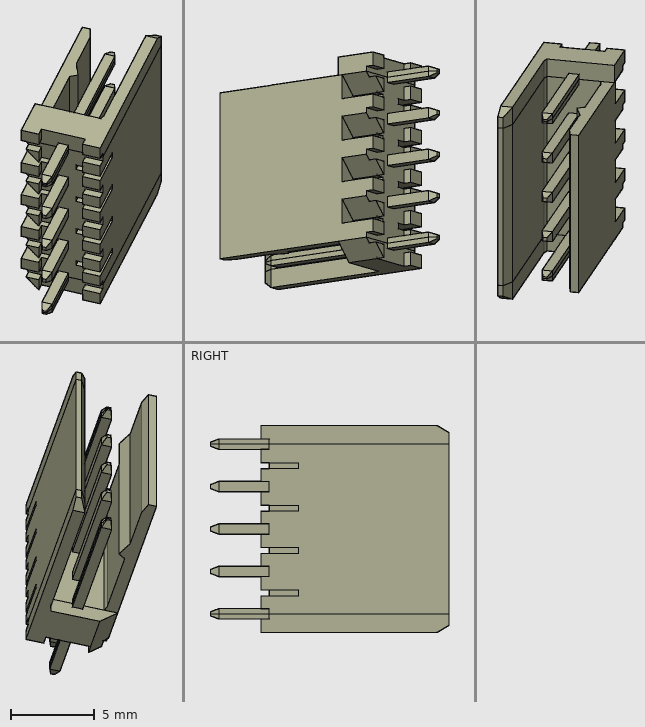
import cadquery as cq


width = 5.0
height = 12.4
pin_count = 5
pitch = 2.54
half_width = width / 2
half_height = height / 2
core_half_height = pitch * (pin_count - 1) / 2
cap_height = half_height - core_half_height
pin_heights = [i * pitch - core_half_height for i in range(pin_count)]

floor_y = 2.56
foot_height = 0.49
foot_width = 1.12
foot_gap = 0.6

wall_top_y = 11.27
wall_thickness = 0.75
wall_lead_y = wall_top_y - 0.72
latch_wall_tip = 0.51
plain_wall_tip = 0.35
root_thickness = 0.85
root_top_y = 2.89
wall_end_bevel = 0.43

latch_top_y = 8.02
latch_peak_y = 7.06
latch_bottom_y = 6.78
latch_reach = 1.17

recess_depth = 2.26
slot_height = 0.35
slot_length = 1.7

pin_size = 0.65
pin_tip_size = 0.25
pin_bevel = 0.51
pin_bottom_y = -3.03
pin_top_y = 9.57


def box(x_from, x_to, y_from, y_to, z_from, z_to):
    """A block between the given limits."""
    size = (x_to - x_from, y_to - y_from, z_to - z_from)
    return cq.Workplane().box(*size, centered=False).translate((x_from, y_from, z_from))


def prism(points, z_from, z_to):
    """An outline in X and Y, extruded along Z."""
    return cq.Workplane().workplane(offset=z_from).polyline(points).close().extrude(z_to - z_from)


base_points = [
    (-half_width, 0),
    (-half_width + foot_width, 0),
    (-half_width + foot_width, foot_height),
    (half_width - foot_width, foot_height),
    (half_width - foot_width, 0),
    (half_width, 0),
]
plain_wall_points = [
    (half_width, wall_top_y),
    (half_width - plain_wall_tip, wall_top_y),
    (half_width - wall_thickness, wall_lead_y),
    (half_width - wall_thickness, root_top_y),
    (half_width - root_thickness, floor_y),
]
latch_wall_points = [
    (-half_width + root_thickness, floor_y),
    (-half_width + wall_thickness, root_top_y),
    (-half_width + wall_thickness, latch_bottom_y),
    (-half_width + latch_reach, latch_peak_y),
    (-half_width + wall_thickness, latch_top_y),
    (-half_width + wall_thickness, wall_lead_y),
    (-half_width + latch_wall_tip, wall_top_y),
    (-half_width, wall_top_y),
]
core_outline = base_points + plain_wall_points + latch_wall_points
cap_outline = base_points + plain_wall_points + [(-half_width, floor_y)]


def pin(z):
    """A square pin along Y, tapered at both ends."""

    def taper(base_y, direction):
        plane = cq.Plane(origin=(0, base_y, z), xDir=(1, 0, 0), normal=(0, direction, 0))
        base = cq.Workplane(plane).rect(pin_size, pin_size)
        return base.workplane(offset=pin_bevel).rect(pin_tip_size, pin_tip_size).loft(ruled=True)

    half = pin_size / 2
    shank_bottom = pin_bottom_y + pin_bevel
    shank_top = pin_top_y - pin_bevel
    shank = box(-half, half, shank_bottom, shank_top, z - half, z + half)
    return shank.union(taper(shank_bottom, -1)).union(taper(shank_top, 1))


def foot_gap_cut(z):
    """The gap between two feet, at the height of a pin."""
    return box(-half_width, half_width, 0, foot_height, z - foot_gap / 2, z + foot_gap / 2)


def corner_cut(z, depth):
    """The 45-degree wedge taken off the -X side of the base, below a pin."""
    wedge = [(-half_width, z), (-half_width + cap_height, z - cap_height), (-half_width, z - cap_height)]
    return cq.Workplane("XZ").polyline(wedge).close().extrude(-depth)


def recess_cut(z):
    """The wedge and the two side slots below a pin."""
    slot_top = z - cap_height
    slot_bottom = slot_top - slot_height
    left_slot = box(-half_width, -half_width + slot_length, 0, recess_depth, slot_bottom, slot_top)
    right_slot = left_slot.mirror("YZ")
    return corner_cut(z, recess_depth).union(left_slot).union(right_slot)


def make_core():
    """The part of the header between the end pins' middles, in one piece with its pins."""
    core = prism(core_outline, -core_half_height, core_half_height)
    for z in pin_heights:
        core = core.cut(foot_gap_cut(z))
    for z in pin_heights[1:]:
        core = core.cut(recess_cut(z))
    reach = box(-half_width, half_width, pin_bottom_y, wall_top_y, -core_half_height, core_half_height)
    for z in pin_heights:
        core = core.union(pin(z).intersect(reach))
    return core


def wall_end_cut(side):
    """The bevel on the outer top corner of a cap's wall."""
    outer = side * half_height
    inner = side * (half_height - wall_end_bevel)
    corner = [(wall_lead_y, outer), (wall_top_y, inner), (wall_top_y, outer)]
    return cq.Workplane("YZ").polyline(corner).close().extrude(half_width)


def make_cap(side):
    """The end of the housing beyond an end pin's middle; side is 1 for the top and -1 for the bottom."""
    pin_z = side * core_half_height
    cap = prism(cap_outline, min(pin_z, side * half_height), max(pin_z, side * half_height))
    cap = cap.cut(wall_end_cut(side)).cut(foot_gap_cut(pin_z)).cut(pin(pin_z))
    if side < 0:
        cap = cap.cut(corner_cut(pin_z, floor_y))
    return cap


def make_half_pin(side):
    """The outer half of an end pin, seated in the cap."""
    pin_z = side * core_half_height
    far_z = side * half_height
    reach = box(-half_width, half_width, pin_bottom_y, wall_top_y, min(pin_z, far_z), max(pin_z, far_z))
    return pin(pin_z).intersect(reach)


sides = (1, -1)
core = make_core().solids().val()
caps = [make_cap(side).solids().val() for side in sides]
half_pins = [make_half_pin(side).solids().val() for side in sides]

result = cq.Compound.makeCompound([core, *caps, *half_pins])